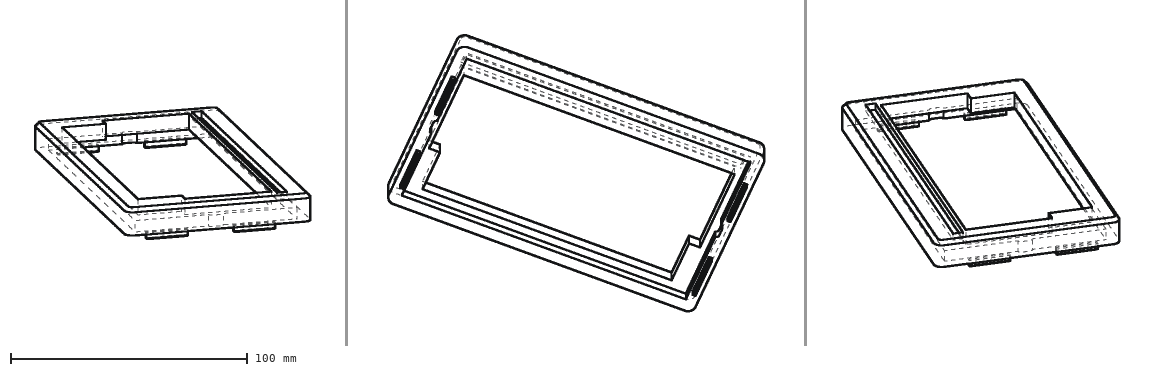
import cadquery as cq

LENGTH = 140.5
WIDTH = 81.8
BODY_HEIGHT = 12.0
CORNER_RADIUS = 3.5
TOP_CHAMFER = 1.75

WALL = 5.25
PLATE_THICKNESS = 7.0

NOTCH_WIDTH = 6.5
NOTCH_DEPTH = 1.2
NOTCH_CORNER_DIAMETER = 3.0

WINDOW_HALF_LENGTH = 62.0
WINDOW_NARROW_HALF_LENGTH = 57.0
WINDOW_BACK_Y = 25.3
WINDOW_STEP_Y = -12.8
WINDOW_FRONT_Y = -32.0

SLOT_LENGTH = 128.2
SLOT_BACK_Y = 31.5
SLOT_FRONT_Y = 27.2
SLOT_DEPTH = 3.0

TONGUE_DROP = 3.0
TONGUE_THICKNESS = 1.4
TONGUE_LENGTH = 18.2
TONGUE_X = 66.9
TONGUE_CENTRES_Y = (16.3, -22.2)
TONGUE_CHAMFER = 0.5
TONGUE_ROOT = 1.0


def frame_body():
    body = cq.Workplane("XY").box(LENGTH, WIDTH, BODY_HEIGHT, centered=(True, True, False))
    body = body.edges("|Z").fillet(CORNER_RADIUS)
    return body.faces(">Z").chamfer(TOP_CHAMFER)


def underside_recess():
    depth = BODY_HEIGHT - PLATE_THICKNESS
    return cq.Workplane("XY").box(
        LENGTH - 2 * WALL, WIDTH - 2 * WALL, depth, centered=(True, True, False)
    )


def end_wall_notches():
    notch_span = LENGTH - 2 * WALL + 2 * NOTCH_DEPTH
    notches = cq.Workplane("XY").box(
        notch_span, NOTCH_WIDTH, BODY_HEIGHT - PLATE_THICKNESS, centered=(True, True, False)
    )
    return notches.edges("|Z").fillet(NOTCH_CORNER_DIAMETER / 2)


def window():
    outline = [
        (-WINDOW_HALF_LENGTH, WINDOW_BACK_Y),
        (WINDOW_HALF_LENGTH, WINDOW_BACK_Y),
        (WINDOW_HALF_LENGTH, WINDOW_STEP_Y),
        (WINDOW_NARROW_HALF_LENGTH, WINDOW_STEP_Y),
        (WINDOW_NARROW_HALF_LENGTH, WINDOW_FRONT_Y),
        (-WINDOW_NARROW_HALF_LENGTH, WINDOW_FRONT_Y),
        (-WINDOW_NARROW_HALF_LENGTH, WINDOW_STEP_Y),
        (-WINDOW_HALF_LENGTH, WINDOW_STEP_Y),
    ]
    return cq.Workplane("XY").polyline(outline).close().extrude(BODY_HEIGHT)


def top_slot():
    centre_y = (SLOT_BACK_Y + SLOT_FRONT_Y) / 2
    return (
        cq.Workplane("XY", origin=(0, centre_y, BODY_HEIGHT))
        .rect(SLOT_LENGTH, SLOT_BACK_Y - SLOT_FRONT_Y)
        .extrude(-SLOT_DEPTH)
    )


def tongue(x, y):
    return (
        cq.Workplane("XY", origin=(x, y, -TONGUE_DROP))
        .rect(TONGUE_THICKNESS, TONGUE_LENGTH)
        .extrude(TONGUE_DROP + TONGUE_ROOT)
        .faces("<Z")
        .chamfer(TONGUE_CHAMFER)
    )


result = frame_body().cut(underside_recess()).cut(end_wall_notches()).cut(window()).cut(top_slot())
for side in (-1, 1):
    for centre_y in TONGUE_CENTRES_Y:
        result = result.union(tongue(side * TONGUE_X, centre_y))